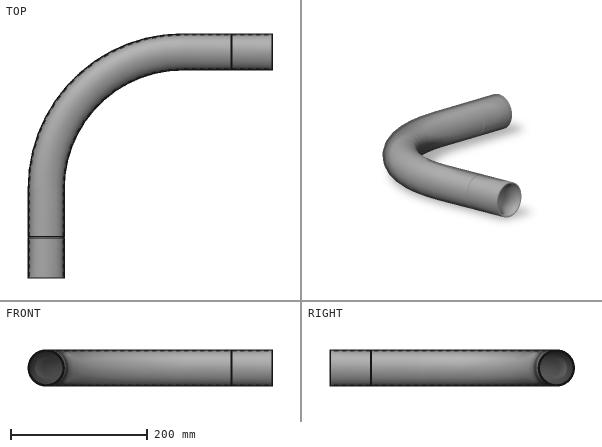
import cadquery as cq

OUTER_DIAMETER = 53.0
WALL = 1.8
OUTER_RADIUS = OUTER_DIAMETER / 2
INNER_RADIUS = OUTER_RADIUS - WALL

OVERALL_SIZE = 358.0
BEND_RADIUS = 200.0
LEG_LENGTH = OVERALL_SIZE - OUTER_RADIUS - BEND_RADIUS

GROOVE_CENTRE_FROM_END = 60.0
GROOVE_RADIUS = 1.0

Y_LEG_END = cq.Vector(0, -LEG_LENGTH, 0)
X_LEG_END = cq.Vector(BEND_RADIUS + LEG_LENGTH, BEND_RADIUS, 0)
INTO_Y_LEG = cq.Vector(0, 1, 0)
INTO_X_LEG = cq.Vector(-1, 0, 0)


def leg(end, inward):
    """Straight tube running from its open end to the bend."""
    section = cq.Workplane(cq.Plane(origin=end, normal=inward))
    return section.circle(OUTER_RADIUS).circle(INNER_RADIUS).extrude(LEG_LENGTH)


def bend():
    """Quarter-turn tube joining the two legs."""
    section = cq.Workplane("XZ").circle(OUTER_RADIUS).circle(INNER_RADIUS)
    return section.revolve(90, (BEND_RADIUS, 0, 0), (BEND_RADIUS, -1, 0))


def groove_ring(end, inward):
    """Ring of round cross-section removed to form the groove on one leg."""
    centre = end + inward * GROOVE_CENTRE_FROM_END
    ring = cq.Solid.makeTorus(OUTER_RADIUS, GROOVE_RADIUS, centre, inward)
    return cq.Workplane(ring)


result = bend()
for leg_end, leg_inward in ((Y_LEG_END, INTO_Y_LEG), (X_LEG_END, INTO_X_LEG)):
    grooved_leg = leg(leg_end, leg_inward).cut(groove_ring(leg_end, leg_inward))
    result = result.union(grooved_leg)